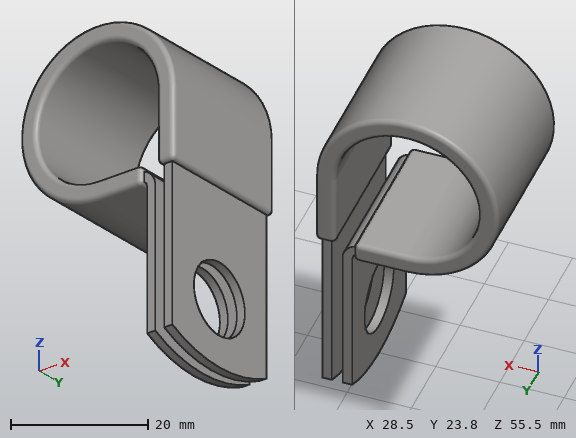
import cadquery as cq
import math

overall_height = 55.45
overall_length = 28.45
cushion_width = 23.8
strap_thickness = 1.5
cushion_wall = 0.8
cushion_leg_x = 8.25
cushion_leg_drop = 11.9
edge_radius = cushion_wall
tab_gap = 1.65
bend_inner_radius = 1.4
hole_diameter = 12.0
hole_z = -30.05
tab_end_radius = 25.0

loop_radius = overall_length / 2
strap_width = cushion_width - 2 * cushion_wall
cushion_thickness = strap_thickness + 2 * cushion_wall
strap_outer_radius = loop_radius - cushion_wall
strap_inner_radius = strap_outer_radius - strap_thickness
bottom_z = loop_radius - overall_height
bent_tab_right = strap_inner_radius - tab_gap
bent_tab_left = bent_tab_right - strap_thickness
bend_x = bent_tab_left - bend_inner_radius
bend_outer_radius = bend_inner_radius + strap_thickness
bend_z = -strap_inner_radius - bend_outer_radius


def extrude_centred(profile, width):
    """Extrude an XZ profile symmetrically about the Y = 0 plane."""
    return profile.extrude(width / 2, both=True)


def arc_middle(radius, angle, x=0, z=0):
    """Point on an arc at the given angle in degrees from +X."""
    turn = math.radians(angle)
    return x + radius * math.cos(turn), z + radius * math.sin(turn)


def make_cushion():
    """Three-quarter loop with a straight leg at each end and rounded edges."""
    inner_radius = loop_radius - cushion_thickness
    profile = (
        cq.Workplane("XZ")
        .moveTo(loop_radius, -cushion_leg_drop)
        .lineTo(loop_radius, 0)
        .threePointArc(arc_middle(loop_radius, 135), (0, -loop_radius))
        .lineTo(cushion_leg_x, -loop_radius)
        .lineTo(cushion_leg_x, -inner_radius)
        .lineTo(0, -inner_radius)
        .threePointArc(arc_middle(inner_radius, 135), (inner_radius, 0))
        .lineTo(inner_radius, -cushion_leg_drop)
        .close()
    )
    body = extrude_centred(profile, cushion_width)
    margin = cushion_wall
    side_edges = body.faces("<Y or >Y").edges()
    end_edges = body.edges(cq.selectors.BoxSelector(
        (cushion_leg_x - margin, -cushion_width, -loop_radius - margin),
        (loop_radius + margin, cushion_width, -inner_radius + margin),
    )).edges("|Y")
    return side_edges.add(end_edges).fillet(edge_radius)


def make_strap():
    """Metal strap inside the cushion, emerging as a straight tab and a bent tab."""
    profile = (
        cq.Workplane("XZ")
        .moveTo(strap_outer_radius, bottom_z)
        .lineTo(strap_outer_radius, 0)
        .threePointArc(arc_middle(strap_outer_radius, 135), (0, -strap_outer_radius))
        .lineTo(bend_x, -strap_outer_radius)
        .threePointArc(arc_middle(bend_inner_radius, 45, bend_x, bend_z), (bent_tab_left, bend_z))
        .lineTo(bent_tab_left, bottom_z)
        .lineTo(bent_tab_right, bottom_z)
        .lineTo(bent_tab_right, bend_z)
        .threePointArc(arc_middle(bend_outer_radius, 45, bend_x, bend_z), (bend_x, -strap_inner_radius))
        .lineTo(0, -strap_inner_radius)
        .threePointArc(arc_middle(strap_inner_radius, 135), (strap_inner_radius, 0))
        .lineTo(strap_inner_radius, bottom_z)
        .close()
    )
    return extrude_centred(profile, strap_width)


def make_tab_envelope():
    """Side silhouette of the strap: flat sides with a curved lower end."""
    half_width = strap_width / 2
    end_rise = tab_end_radius - math.sqrt(tab_end_radius**2 - half_width**2)
    profile = (
        cq.Workplane("YZ")
        .moveTo(-half_width, loop_radius)
        .lineTo(-half_width, bottom_z + end_rise)
        .threePointArc((0, bottom_z), (half_width, bottom_z + end_rise))
        .lineTo(half_width, loop_radius)
        .close()
    )
    return profile.extrude(loop_radius, both=True)


def make_bolt_hole():
    """Bolt hole through both tabs."""
    return cq.Workplane("YZ").center(0, hole_z).circle(hole_diameter / 2).extrude(loop_radius)


strap = make_strap().intersect(make_tab_envelope()).cut(make_bolt_hole())
result = make_cushion().union(strap)